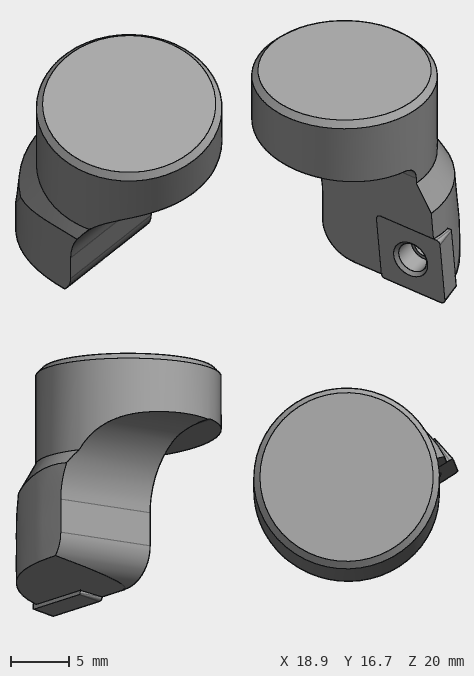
import cadquery as cq
import math

top_z = 20.0
collar_diameter = 16.0
top_chamfer = 0.55
collar_bottom_z = 11.65
cone_bottom_z = 9.05
cone_bottom_radius = 9.5
stem_bottom_radius = 10.25

relief_points = [
    (2.8, -8.25),
    (-0.85, -8.7),
    (-5.58, -7.72),
    (-8.32, -5.45),
    (-9.85, -2.6),
]

insert_side = 6.45
insert_angle = 80.0
insert_thickness = 2.38
insert_relief_angle = 7.0
nose_radius = 0.4
insert_hole_diameter = 2.8
insert_hole_mouth_diameter = 3.45
countersink_angle = 90.0
tip_x = -10.9
tip_z = -0.05

rake_angle = 6.0
lead_angle = (90.0 - insert_angle) / 2

screw_hole_diameter = 2.2
screw_hole_depth = 6.2

ledge_height = 13.32
ledge_fillet = 1.4

end_clearance = 0.32
end_relief_angle = 7.6

neck_x = 1.4
throat_radius = 7.6
throat_center_z = 7.4
heel_radius = 3.4
heel_center_z = 4.5

reach = 30.0

rake = math.radians(rake_angle)
lead = math.radians(lead_angle)
tip = cq.Vector(tip_x, 0, tip_z)
rake_normal = cq.Vector(-math.sin(rake), math.cos(rake), 0)
rake_across = cq.Vector(math.cos(rake), math.sin(rake), 0)
edge_direction = rake_across * math.cos(lead) + cq.Vector(0, 0, math.sin(lead))

seat_plane = cq.Plane(origin=tip, xDir=rake_across, normal=rake_normal * -1)
section_plane = cq.Plane(origin=tip, xDir=rake_normal, normal=edge_direction)

long_step = insert_side * math.cos(lead)
short_step = insert_side * math.sin(lead)
insert_center = ((long_step + short_step) / 2, (long_step + short_step) / 2)


def make_insert_blank():
    """Rhombic plate with rounded corners and relieved flanks, without its hole."""
    corners = [
        (0, 0),
        (long_step, short_step),
        (long_step + short_step, long_step + short_step),
        (short_step, long_step),
    ]
    prism = cq.Workplane(seat_plane).polyline(corners).close().extrude(0.2)
    outline = prism.edges(cq.selectors.ParallelDirSelector(rake_normal)).fillet(nose_radius)
    rim = outline.faces(cq.selectors.DirectionMinMaxSelector(rake_normal, True)).wires()
    return (
        cq.Workplane(seat_plane)
        .add(rim.vals())
        .toPending()
        .extrude(insert_thickness, taper=insert_relief_angle)
    )


def make_insert(blank):
    mouth = insert_hole_mouth_diameter / 2
    bore = insert_hole_diameter / 2
    sink_depth = (mouth - bore) / math.tan(math.radians(countersink_angle / 2))
    hole = cq.Workplane(seat_plane).center(*insert_center).circle(bore).extrude(insert_thickness)
    sink = cq.Solid.makeCone(
        mouth, bore, sink_depth, seat_plane.toWorldCoords(insert_center), rake_normal * -1
    )
    return blank.cut(hole).cut(cq.Workplane(sink))


def make_round_body():
    radius = collar_diameter / 2
    profile = [
        (0, 0),
        (stem_bottom_radius, 0),
        (cone_bottom_radius, cone_bottom_z),
        (radius, collar_bottom_z),
        (radius, top_z - top_chamfer),
        (radius - top_chamfer, top_z),
        (0, top_z),
    ]
    return cq.Workplane("XZ").polyline(profile).close().revolve(360, (0, 0), (0, 1))


def trim_stem(body):
    """Trim everything below the collar to the smooth upright relief surface."""
    right_end, left_end = relief_points[0], relief_points[-1]
    envelope = (
        cq.Workplane("XY")
        .spline(relief_points)
        .lineTo(-reach, left_end[1])
        .lineTo(-reach, reach)
        .lineTo(right_end[0], reach)
        .close()
        .extrude(collar_bottom_z)
    )
    collar_stock = (
        cq.Workplane("XY").workplane(offset=collar_bottom_z)
        .circle(collar_diameter).extrude(top_z - collar_bottom_z)
    )
    return body.intersect(envelope.union(collar_stock))


def make_chip_space():
    """Space in front of the rake face, closed above by a ledge with a filleted corner."""
    return (
        cq.Workplane(section_plane)
        .moveTo(0, -reach)
        .lineTo(0, ledge_height - ledge_fillet)
        .radiusArc((ledge_fillet, ledge_height), ledge_fillet)
        .lineTo(reach, ledge_height)
        .lineTo(reach, -reach)
        .close()
        .extrude(reach, both=True)
    )


def make_end_cut():
    """Space below the relieved end face of the stem."""
    rise = reach * math.tan(math.radians(end_relief_angle))
    profile = [
        (-reach, end_clearance + rise),
        (reach, end_clearance - rise),
        (reach, -reach),
        (-reach, -reach),
    ]
    return cq.Workplane(section_plane).polyline(profile).close().extrude(reach, both=True)


def make_side_clearance():
    """Space right of the throat arc, the upright neck and the rounded heel."""
    throat_center_x = neck_x + throat_radius
    heel_center_x = neck_x - heel_radius
    diagonal = math.sqrt(0.5)
    heel_end = (
        heel_center_x + heel_radius * math.sin(lead),
        heel_center_z - heel_radius * math.cos(lead),
    )
    return (
        cq.Workplane("XZ")
        .moveTo(throat_center_x, throat_center_z + throat_radius)
        .threePointArc(
            (throat_center_x - throat_radius * diagonal, throat_center_z + throat_radius * diagonal),
            (neck_x, throat_center_z),
        )
        .lineTo(neck_x, heel_center_z)
        .threePointArc(
            (heel_center_x + heel_radius * diagonal, heel_center_z - heel_radius * diagonal),
            heel_end,
        )
        .lineTo(heel_end[0], -reach)
        .lineTo(throat_center_x, -reach)
        .close()
        .extrude(reach, both=True)
    )


def make_holder(insert_blank):
    screw_hole = (
        cq.Workplane(seat_plane).center(*insert_center)
        .circle(screw_hole_diameter / 2).extrude(screw_hole_depth)
    )
    return (
        trim_stem(make_round_body())
        .cut(make_chip_space())
        .cut(make_end_cut())
        .cut(make_side_clearance())
        .cut(insert_blank)
        .cut(screw_hole)
    )


insert_blank = make_insert_blank()
insert = make_insert(insert_blank)
holder = make_holder(insert_blank)

result = cq.Compound.makeCompound([holder.val(), insert.val()])